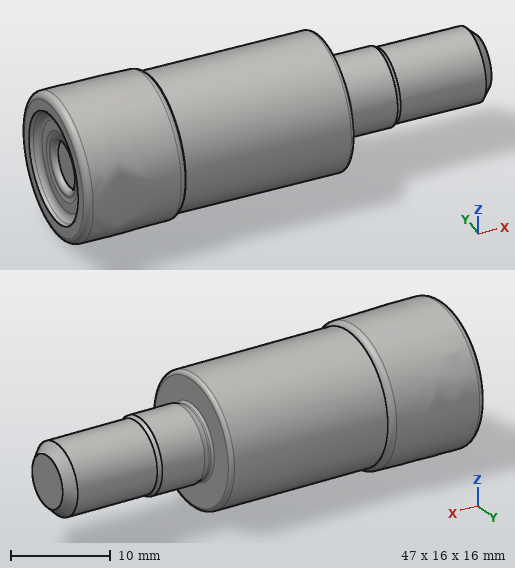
import cadquery as cq
import math

TOTAL_LENGTH = 46.97

CAP_LENGTH = 11.25
CAP_FRONT_RADIUS = 7.975
CAP_MIDDLE_RADIUS = 7.97
CAP_REAR_RADIUS = 7.85
CAP_EDGE_FILLET = 0.75

DISH_MOUTH_RADIUS = 6.0
DISH_STEP_RADIUS = 5.8
DISH_STEP_DEPTH = 0.36
DISH_FLOOR_OUTER_RADIUS = 4.85
DISH_FLOOR_INNER_RADIUS = 3.76
DISH_FLOOR_DEPTH = 0.9
LIP_OUTER_RADIUS = 3.3
LIP_DEPTH = 1.0
LIP_FILLET = 0.6

NOSE_RADIUS = 2.5
NOSE_DEPTH = 1.65

BARREL_RADIUS = 14.8 / 2
BARREL_END = 29.9
BARREL_FILLET = 0.45

UNDERCUT_RADIUS = 8.1 / 2
UNDERCUT_FILLET = 0.25
UNDERCUT_FLAT = 0.2
PILOT_RADIUS = 8.5 / 2
PILOT_START = 31.0
PILOT_END = 36.0
PILOT_TAPER_LENGTH = 0.45
STUD_RADIUS = 8.0 / 2
STUD_CHAMFER = 1.1

DIAGONAL = math.sqrt(0.5)


def revolve_about_x(profile):
    """Revolve a closed (X, radius) profile a full turn about the X axis."""
    return profile.revolve(360, (0, 0, 0), (1, 0, 0))


def corner_arc(profile, centre, radius, mid_direction, end):
    """Add a quarter-circle arc whose midpoint lies diagonally from its centre."""
    mid_x = centre[0] + mid_direction[0] * radius * DIAGONAL
    mid_radius = centre[1] + mid_direction[1] * radius * DIAGONAL
    return profile.threePointArc((mid_x, mid_radius), end)


def make_cap():
    """Bumper cap: gently curved sleeve, narrower at the rear, with rounded rims and a dished front."""
    front_fillet_radius = CAP_FRONT_RADIUS - CAP_EDGE_FILLET
    rear_fillet_radius = CAP_REAR_RADIUS - CAP_EDGE_FILLET
    rear_fillet_start = CAP_LENGTH - CAP_EDGE_FILLET
    lip_end = LIP_DEPTH + LIP_FILLET
    lip_start_radius = NOSE_RADIUS + LIP_FILLET

    profile = cq.Workplane("XY").moveTo(0, front_fillet_radius)
    profile = corner_arc(
        profile, (CAP_EDGE_FILLET, front_fillet_radius), CAP_EDGE_FILLET, (-1, 1),
        (CAP_EDGE_FILLET, CAP_FRONT_RADIUS),
    )
    profile = profile.threePointArc(
        (CAP_LENGTH / 2, CAP_MIDDLE_RADIUS), (rear_fillet_start, CAP_REAR_RADIUS)
    )
    profile = corner_arc(
        profile, (rear_fillet_start, rear_fillet_radius), CAP_EDGE_FILLET, (1, 1),
        (CAP_LENGTH, rear_fillet_radius),
    )
    profile = profile.lineTo(CAP_LENGTH, NOSE_RADIUS).lineTo(lip_end, NOSE_RADIUS)
    profile = corner_arc(
        profile, (lip_end, lip_start_radius), LIP_FILLET, (-1, -1),
        (LIP_DEPTH, lip_start_radius),
    )
    profile = (
        profile.lineTo(LIP_DEPTH, LIP_OUTER_RADIUS)
        .lineTo(DISH_FLOOR_DEPTH, DISH_FLOOR_INNER_RADIUS)
        .lineTo(DISH_FLOOR_DEPTH, DISH_FLOOR_OUTER_RADIUS)
        .tangentArcPoint((DISH_STEP_DEPTH, DISH_STEP_RADIUS), relative=False)
        .lineTo(0, DISH_MOUTH_RADIUS)
        .close()
    )
    return revolve_about_x(profile)


def make_shaft():
    """Shaft: nose inside the cap, large barrel, undercut, pilot and chamfered stud."""
    barrel_fillet_start = BARREL_END - BARREL_FILLET
    barrel_face_radius = BARREL_RADIUS - BARREL_FILLET
    undercut_start = BARREL_END + UNDERCUT_FILLET
    undercut_face_radius = UNDERCUT_RADIUS + UNDERCUT_FILLET

    profile = (
        cq.Workplane("XY")
        .moveTo(NOSE_DEPTH, 0)
        .lineTo(NOSE_DEPTH, NOSE_RADIUS)
        .lineTo(CAP_LENGTH, NOSE_RADIUS)
        .lineTo(CAP_LENGTH, BARREL_RADIUS)
        .lineTo(barrel_fillet_start, BARREL_RADIUS)
    )
    profile = corner_arc(
        profile, (barrel_fillet_start, barrel_face_radius), BARREL_FILLET, (1, 1),
        (BARREL_END, barrel_face_radius),
    )
    profile = profile.lineTo(BARREL_END, undercut_face_radius)
    profile = corner_arc(
        profile, (undercut_start, undercut_face_radius), UNDERCUT_FILLET, (-1, -1),
        (undercut_start, UNDERCUT_RADIUS),
    )
    profile = (
        profile.lineTo(undercut_start + UNDERCUT_FLAT, UNDERCUT_RADIUS)
        .lineTo(PILOT_START, PILOT_RADIUS)
        .lineTo(PILOT_END, PILOT_RADIUS)
        .lineTo(PILOT_END + PILOT_TAPER_LENGTH, STUD_RADIUS)
        .lineTo(TOTAL_LENGTH - STUD_CHAMFER, STUD_RADIUS)
        .lineTo(TOTAL_LENGTH, STUD_RADIUS - STUD_CHAMFER)
        .lineTo(TOTAL_LENGTH, 0)
        .close()
    )
    return revolve_about_x(profile)


cap = make_cap()
shaft = make_shaft()
result = cq.Compound.makeCompound([cap.val(), shaft.val()])